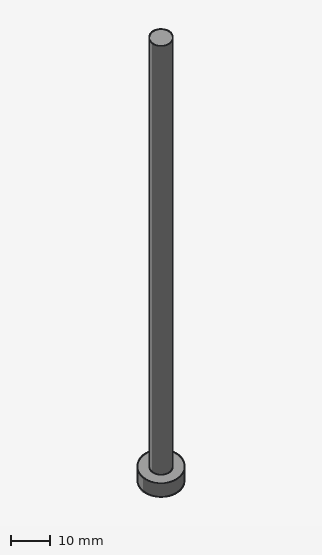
import cadquery as cq

total_length = 160.0
head_diameter = 12.0
head_height = 5.0
shank_diameter = 6.0


def make_head():
    """Cylindrical head with its underside on the XY plane."""
    return cq.Workplane("XY").circle(head_diameter / 2).extrude(head_height)


def make_shank():
    """Straight round shank running the full length of the pin."""
    return cq.Workplane("XY").circle(shank_diameter / 2).extrude(total_length)


result = make_head().union(make_shank())